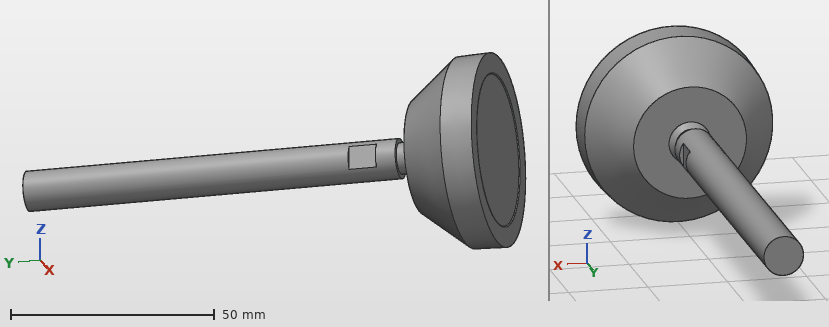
import cadquery as cq

total_length = 120.0

base_diameter = 48.0
shoulder_diameter = 47.4
crown_diameter = 28.5
shoulder_height = 8.0
base_height = 20.0

recess_mouth_diameter = 38.0
recess_floor_diameter = 37.5
recess_depth = 0.2

shaft_diameter = 10.0
neck_diameter = 7.8
collar_diameter = 10.5
collar_top = 21.6
neck_top = 25.0

flats_start = 30.0
flats_length = 7.0
width_across_flats = 8.0


def revolve_about_y(points):
    """Turn a closed (radius, Y) outline into a solid around the Y axis."""
    return cq.Workplane("XY").polyline(points).close().revolve(360, (0, 0), (0, 1))


def make_base():
    return revolve_about_y([
        (0, recess_depth),
        (recess_floor_diameter / 2, recess_depth),
        (recess_mouth_diameter / 2, 0),
        (base_diameter / 2, 0),
        (shoulder_diameter / 2, shoulder_height),
        (crown_diameter / 2, base_height),
        (0, base_height),
    ])


def make_spindle():
    spindle = revolve_about_y([
        (0, base_height),
        (collar_diameter / 2, base_height),
        (neck_diameter / 2, collar_top),
        (neck_diameter / 2, neck_top),
        (shaft_diameter / 2, neck_top),
        (shaft_diameter / 2, total_length),
        (0, total_length),
    ])
    flats_center = flats_start + flats_length / 2
    for side in (-1, 1):
        cutter_center = side * (width_across_flats + shaft_diameter) / 2
        cutter = cq.Workplane("XY").box(shaft_diameter, flats_length, shaft_diameter)
        spindle = spindle.cut(cutter.translate((cutter_center, flats_center, 0)))
    return spindle


base = make_base()
spindle = make_spindle()

result = cq.Compound.makeCompound([base.val(), spindle.val()])